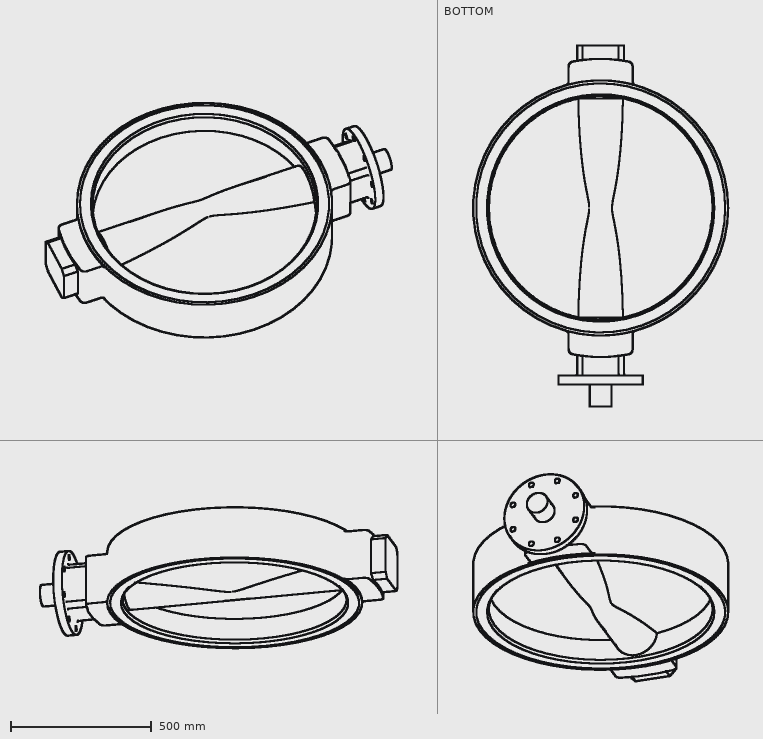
import cadquery as cq
import math


ring_diameter = 908.0
ring_radius = ring_diameter / 2
ring_height = 191.0
liner_outer_radius = 443.0
bore_radius = 398.0
bore_chamfer_width = 6.0
bore_chamfer_depth = 12.0

boss_width = 229.0
boss_height = 182.0
boss_end_radius = 530.0
boss_corner_fillet = 19.0
boss_root_fillet = 13.0

neck_width = 167.0
neck_chamfer = 19.0
lower_neck_end = 578.0

flange_radius = 150.0
flange_top = 628.0
flange_thickness = 32.0
flange_underside = flange_top - flange_thickness
flange_root_fillet = 5.0
root_search_depth = 1.0
bolt_circle_radius = 127.0
bolt_hole_diameter = 18.0
bolt_count = 8

stem_diameter = 78.0
stem_radius = stem_diameter / 2
stem_top = 706.0
stem_inner_end = 193.0

cone_height = 76.0
rim_half_thickness = 5.0
hub_radius = 80.0
hub_clearance = 0.6
hub_half_length = math.sqrt(bore_radius**2 - hub_radius**2) - hub_clearance


def cylinder_z(radius, height):
    """Cylinder along Z, centred on the origin."""
    return cq.Workplane("XY").circle(radius).extrude(height / 2, both=True)


def cylinder_y(radius, y_start, y_end):
    """Cylinder on the Y axis between two places."""
    return cq.Workplane("XZ", origin=(0, y_start, 0)).circle(radius).extrude(y_start - y_end)


def neck(y_start, y_end):
    """Square bar along Y with four chamfered edges."""
    bar = cq.Workplane("XZ", origin=(0, y_start, 0)).rect(neck_width, neck_width).extrude(y_start - y_end)
    return bar.edges("|Y").chamfer(neck_chamfer)


def bosses():
    """Both bosses, joined by a round core that the ring later covers."""
    bar = cq.Workplane("XY").box(boss_width, 2 * boss_end_radius, boss_height)
    bar = bar.intersect(cylinder_z(boss_end_radius, boss_height))
    bar = bar.edges("|Z").fillet(boss_corner_fillet)
    joined = bar.union(cylinder_z(ring_radius, boss_height))
    half_width = boss_width / 2
    root_y = math.sqrt(ring_radius**2 - half_width**2)
    for x in (-half_width, half_width):
        for y in (-root_y, root_y):
            joined = joined.edges(cq.selectors.NearestToPointSelector((x, y, 0))).fillet(boss_root_fillet)
    return joined


def flanged_neck():
    """Upper neck with the drilled actuator flange at its end."""
    flange = cylinder_y(flange_radius, flange_underside, flange_top)
    body = neck(liner_outer_radius, flange_underside).union(flange)
    root = cq.selectors.BoxSelector(
        (-neck_width, flange_underside - root_search_depth, -neck_width),
        (neck_width, flange_underside + root_search_depth, neck_width),
    )
    body = body.edges(root).edges("not %CIRCLE").fillet(flange_root_fillet)
    for i in range(bolt_count):
        angle = math.radians((i + 0.5) * 360 / bolt_count)
        x = bolt_circle_radius * math.cos(angle)
        z = bolt_circle_radius * math.sin(angle)
        hole = cylinder_y(bolt_hole_diameter / 2, flange_underside, flange_top)
        body = body.cut(hole.translate((x, 0, z)))
    return body


upper_stem = cylinder_y(stem_radius, stem_inner_end, stem_top)
lower_stem = cylinder_y(stem_radius, -boss_end_radius, -stem_inner_end)


def without_stems(body):
    """The body with the stem holes cut into it."""
    return body.cut(upper_stem).cut(lower_stem)


def make_housing():
    """Ring, bosses, necks and flange in one piece, bored for the liner."""
    body = bosses().union(cylinder_z(ring_radius, ring_height))
    body = body.union(flanged_neck()).union(neck(-lower_neck_end, -liner_outer_radius))
    return without_stems(body.cut(cylinder_z(liner_outer_radius, ring_height)))


def make_liner():
    """Sleeve with a chamfered mouth at each end of the bore."""
    half_height = ring_height / 2
    mouth_radius = bore_radius + bore_chamfer_width
    chamfer_z = half_height - bore_chamfer_depth
    profile = cq.Workplane("XZ").polyline([
        (liner_outer_radius, -half_height),
        (liner_outer_radius, half_height),
        (mouth_radius, half_height),
        (bore_radius, chamfer_z),
        (bore_radius, -chamfer_z),
        (mouth_radius, -half_height),
    ]).close()
    return without_stems(profile.revolve(360, (0, 0, 0), (0, 1, 0)))


def make_disc():
    """Double cone with a hub, socketed for the two stems."""
    profile = cq.Workplane("XZ").polyline([
        (0, -cone_height),
        (-bore_radius, -rim_half_thickness),
        (-bore_radius, rim_half_thickness),
        (0, cone_height),
    ]).close()
    cones = profile.revolve(360, (0, 0, 0), (0, 1, 0))
    return without_stems(cones.union(cylinder_y(hub_radius, -hub_half_length, hub_half_length)))


housing = make_housing()
liner = make_liner()
disc = make_disc()

result = cq.Compound.makeCompound([
    housing.val(), liner.val(), disc.val(), upper_stem.val(), lower_stem.val(),
])